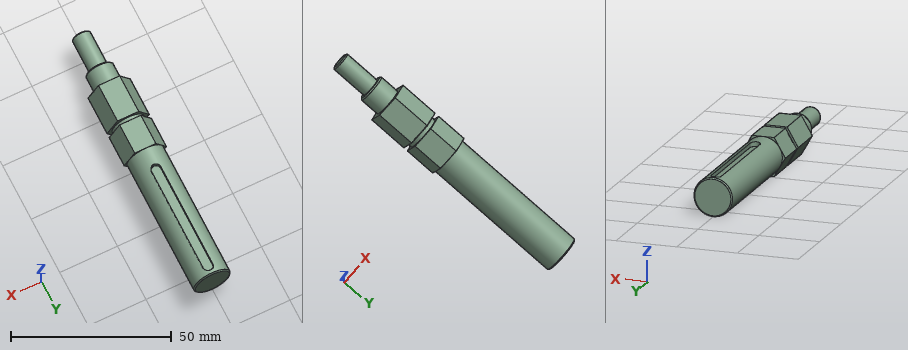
import cadquery as cq
import math

overall_length = 92.33

pin_diameter = 6.33
pin_length = 12.7
pin_tip_diameter = 5.2
pin_chamfer_angle = 35.0

collar_diameter = 9.5
collar_length = 7.1
collar_chamfer = 0.5

hex_sides = 6
hex_across_flats = 12.7
front_hex_length = 13.35
neck_diameter = 11.18
neck_length = 1.45
rear_hex_length = 10.6

shaft_diameter = 12.68
shaft_chamfer = 0.4

keyway_width = 3.3
keyway_length = 39.65
keyway_depth = 1.6
keyway_end_gap = 1.5

collar_start = pin_length
front_hex_start = collar_start + collar_length
neck_start = front_hex_start + front_hex_length
rear_hex_start = neck_start + neck_length
shaft_start = rear_hex_start + rear_hex_length
shaft_length = overall_length - shaft_start


def section_plane(start):
    """Plane across the axis, with its normal along +Y."""
    return cq.Plane(origin=(0, start, 0), xDir=(1, 0, 0), normal=(0, 1, 0))


def cylinder(diameter, start, length):
    return cq.Workplane(section_plane(start)).circle(diameter / 2).extrude(length)


def hexagon(start, length):
    """Hexagonal section with flats facing +Z and -Z and corners on X."""
    across_corners = hex_across_flats / math.cos(math.pi / hex_sides)
    return cq.Workplane(section_plane(start)).polygon(hex_sides, across_corners).extrude(length)


def make_pin():
    """Pin with a shallow chamfer around its tip."""
    radial = (pin_diameter - pin_tip_diameter) / 2
    axial = radial * math.tan(math.radians(pin_chamfer_angle))
    profile = (
        cq.Workplane("XY")
        .lineTo(pin_tip_diameter / 2, 0)
        .lineTo(pin_diameter / 2, axial)
        .lineTo(pin_diameter / 2, pin_length)
        .lineTo(0, pin_length)
        .close()
    )
    return profile.revolve(360, (0, 0), (0, 1))


def make_collar():
    collar = cylinder(collar_diameter, collar_start, collar_length)
    return collar.faces("<Y").chamfer(collar_chamfer)


def make_keyway():
    """Round-ended cutter that opens through the top of the shaft."""
    centre_y = overall_length - keyway_end_gap - keyway_length / 2
    floor_z = shaft_diameter / 2 - keyway_depth
    return (
        cq.Workplane("XY", origin=(0, centre_y, floor_z))
        .slot2D(keyway_length, keyway_width, 90)
        .extrude(shaft_diameter / 2)
    )


def make_shaft():
    shaft = cylinder(shaft_diameter, shaft_start, shaft_length)
    return shaft.faces(">Y").chamfer(shaft_chamfer).cut(make_keyway())


result = (
    make_pin()
    .union(make_collar())
    .union(hexagon(front_hex_start, front_hex_length))
    .union(cylinder(neck_diameter, neck_start, neck_length))
    .union(hexagon(rear_hex_start, rear_hex_length))
    .union(make_shaft())
)